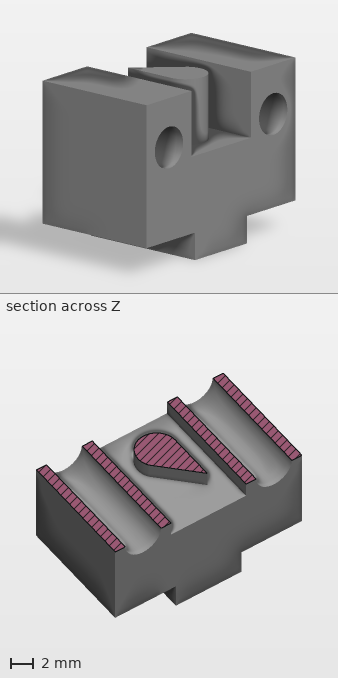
import cadquery as cq
import math

width = 12.0
length = 20.0
body_height = 13.0

tongue_width = 7.0
tongue_height = 2.5

channel_width = 8.0
channel_depth = 6.0
channel_floor = body_height - channel_depth

hole_diameter = 3.8
hole_spacing = 14.0
hole_drop = 4.5

post_radius = 2.0
post_center_x = 1.9
post_tip_reach = 4.93
post_round_end_angle = 124.0


def make_block():
    """Block with the tongue below and the channel cut through the top."""
    body = cq.Workplane("XY").box(width, length, body_height, centered=(True, True, False))
    tongue = (
        cq.Workplane("XY")
        .box(width, tongue_width, tongue_height, centered=(True, True, False))
        .translate((0, 0, -tongue_height))
    )
    channel = (
        cq.Workplane("XY")
        .box(width, channel_width, channel_depth, centered=(True, True, False))
        .translate((0, 0, channel_floor))
    )
    return body.union(tongue).cut(channel)


def make_holes():
    """Pair of cylinders through the full width of the uprights."""
    half_spacing = hole_spacing / 2
    hole_z = body_height - hole_drop
    return (
        cq.Workplane("YZ", origin=(-width / 2, 0, 0))
        .pushPoints([(-half_spacing, hole_z), (half_spacing, hole_z)])
        .circle(hole_diameter / 2)
        .extrude(width)
    )


def make_post():
    """Round post with a flat side parallel to X and a sloped side, meeting in a sharp tip."""
    tip = (post_center_x - post_tip_reach, -post_radius)
    flat_tangent = (post_center_x, -post_radius)
    far_side = (post_center_x + post_radius, 0)
    end_angle = math.radians(post_round_end_angle)
    slope_start = (
        post_center_x + post_radius * math.cos(end_angle),
        post_radius * math.sin(end_angle),
    )
    return (
        cq.Workplane("XY", origin=(0, 0, channel_floor))
        .moveTo(*tip)
        .lineTo(*flat_tangent)
        .threePointArc(far_side, slope_start)
        .close()
        .extrude(channel_depth)
    )


result = make_block().cut(make_holes()).union(make_post())